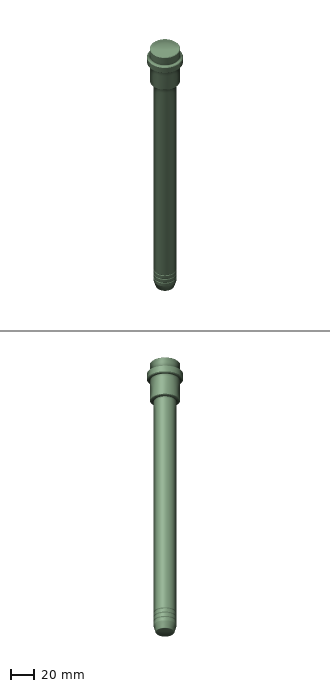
import cadquery as cq

total_length = 261.0

head_radius = 13.0
head_length = 36.0
head_chamfer = 0.5
collar_diameter = 31.0
collar_radius = collar_diameter / 2
collar_top_depth = 9.0
collar_thickness = 6.8
collar_chamfer = 0.65

shaft_diameter = 20.0
shaft_radius = shaft_diameter / 2
shaft_neck_radius = 9.5
shaft_neck_length = 1.0

groove_count = 3
groove_first_height = 10.2
groove_pitch = 4.2
groove_width = 1.3
groove_depth = 0.4

tip_radius = 8.0
tip_length = 6.5
tip_edge_round = 0.5


def disc(bottom, top, radius):
    """Cylinder about the Z axis between two heights."""
    return cq.Workplane("XY").workplane(offset=bottom).circle(radius).extrude(top - bottom)


def make_shaft():
    """Shaft with a tapered tip and a slim relief under the head."""
    head_bottom = total_length - head_length
    neck_bottom = head_bottom - shaft_neck_length
    tip = cq.Workplane("XY").circle(tip_radius).workplane(offset=tip_length).circle(shaft_radius).loft()
    tip = tip.faces("<Z").edges().fillet(tip_edge_round)
    shaft = disc(tip_length, neck_bottom, shaft_radius)
    neck = disc(neck_bottom, head_bottom, shaft_neck_radius)
    return tip.union(shaft).union(neck)


def make_head():
    """Chamfered cylinders above and below a collar; their chamfers leave fine V reliefs against it."""
    collar_top = total_length - collar_top_depth
    collar_bottom = collar_top - collar_thickness
    head_bottom = total_length - head_length
    cap = disc(collar_top, total_length, head_radius).edges().chamfer(head_chamfer)
    collar = disc(collar_bottom, collar_top, collar_radius).edges().chamfer(collar_chamfer)
    body = disc(head_bottom, collar_bottom, head_radius).edges().chamfer(head_chamfer)
    return cap.union(collar).union(body)


def oil_groove(middle):
    """Ring that cuts a V groove around the shaft at the given height."""
    half_width = groove_width / 2
    profile = [
        (shaft_radius, middle - half_width),
        (shaft_radius - groove_depth, middle),
        (shaft_radius, middle + half_width),
    ]
    return cq.Workplane("XZ").polyline(profile).close().revolve(360, (0, 0, 0), (0, 1, 0))


result = make_shaft().union(make_head())
for index in range(groove_count):
    result = result.cut(oil_groove(groove_first_height + index * groove_pitch))